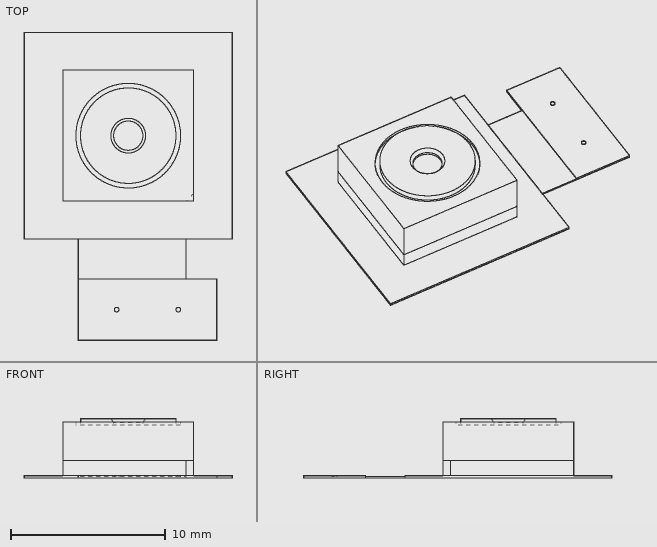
import cadquery as cq

plate_thickness = 0.15
ribbon_thickness = 0.1
camera_plate_width = 13.5
camera_plate_length = 13.42
ribbon_width = 7.0
ribbon_left = -3.25
connector_width = 9.0
connector_length = 4.0
circuit_length = 20.0
ribbon_length = circuit_length - camera_plate_length - connector_length
pin_hole_diameter = 0.3
pin_hole_spacing = 4.0
pin_hole_depth = plate_thickness - ribbon_thickness

camera_side = 8.5
base_height = 1.0
base_corner_chamfer = 0.5
housing_height = 2.5

barrel_diameter = 6.2
barrel_rise = 0.2
groove_diameter = 6.8
groove_depth = 0.2

aperture_mouth_diameter = 2.25
aperture_bore_diameter = 1.9
aperture_cone_depth = 0.25
aperture_bore_depth = 0.15

base_bottom = plate_thickness
housing_bottom = base_bottom + base_height
housing_top = housing_bottom + housing_height
barrel_top = housing_top + barrel_rise
camera_plate_front = -camera_plate_length / 2
connector_back = camera_plate_front - ribbon_length


def slab(left, back, width, length, thickness):
    """Flat rectangle on the ground plane, running from its back edge towards -Y."""
    blank = cq.Workplane("XY").box(width, length, thickness, centered=False)
    return blank.translate((left, back - length, 0))


def make_circuit():
    camera_plate = slab(
        -camera_plate_width / 2,
        camera_plate_length / 2,
        camera_plate_width,
        camera_plate_length,
        plate_thickness,
    )
    ribbon = slab(ribbon_left, camera_plate_front, ribbon_width, ribbon_length, ribbon_thickness)
    connector = slab(ribbon_left, connector_back, connector_width, connector_length, plate_thickness)
    pin_holes = (
        cq.Workplane("XY")
        .workplane(offset=plate_thickness - pin_hole_depth)
        .center(ribbon_left + connector_width / 2, connector_back - connector_length / 2)
        .rarray(pin_hole_spacing, 1, 2, 1)
        .circle(pin_hole_diameter / 2)
        .extrude(pin_hole_depth)
    )
    return camera_plate.union(ribbon).union(connector).cut(pin_holes)


def camera_block(bottom, height):
    """Square block with the camera footprint."""
    return cq.Workplane("XY").workplane(offset=bottom).rect(camera_side, camera_side).extrude(height)


def make_base():
    marked_corner = "|Z and >X and <Y"
    return camera_block(base_bottom, base_height).edges(marked_corner).chamfer(base_corner_chamfer)


def make_aperture():
    """Space cut by the aperture, as a half profile turned about the lens axis."""
    mouth_radius = aperture_mouth_diameter / 2
    bore_radius = aperture_bore_diameter / 2
    cone_bottom = barrel_top - aperture_cone_depth
    bore_bottom = cone_bottom - aperture_bore_depth
    return (
        cq.Workplane("XZ")
        .moveTo(0, barrel_top)
        .lineTo(mouth_radius, barrel_top)
        .lineTo(bore_radius, cone_bottom)
        .lineTo(bore_radius, bore_bottom)
        .lineTo(0, bore_bottom)
        .close()
        .revolve(360, (0, 0), (0, 1))
    )


def make_housing():
    groove_floor = cq.Workplane("XY").workplane(offset=housing_top - groove_depth)
    groove = groove_floor.circle(groove_diameter / 2).extrude(groove_depth)
    barrel = groove_floor.circle(barrel_diameter / 2).extrude(groove_depth + barrel_rise)
    return camera_block(housing_bottom, housing_height).cut(groove).union(barrel).cut(make_aperture())


circuit = make_circuit()
base = make_base()
housing = make_housing()

result = cq.Compound.makeCompound([circuit.val(), base.val(), housing.val()])